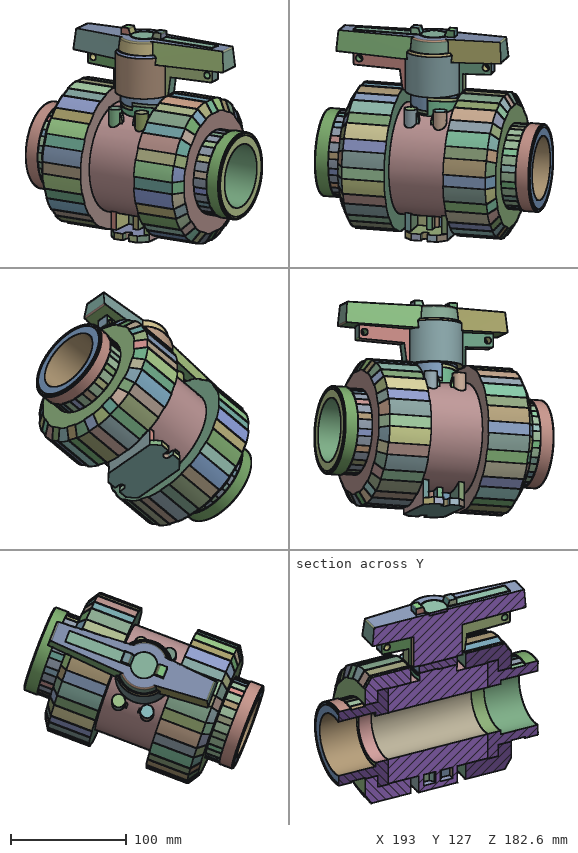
import cadquery as cq

clearance = 2.0
half_length = 96.5
flow_bore_r = 24.5
body_r = 48.6
body_half_length = 48.2

nut_r = 63.7
nut_floor_r = 63.0
nut_face_r = 53.8
nut_inner_x = 26.5
nut_bevel_x = 64.5
nut_outer_x = 70.8
grip_count = 16
nut_groove_width = 10.5

socket_r = 28.0
socket_depth = 35.9
connector_rim_r = 38.2
connector_rim_length = 12.4
connector_rim_chamfer = 1.0
connector_neck_r = 37.5
connector_groove_width = 6.2
connector_groove_depth = 0.5
connector_flange_length = 9.6
flange_outer_x = body_half_length + connector_flange_length
face_recess_r = 35.5
face_recess_depth = 0.2

neck_r = 20.3
neck_recess = 0.4
rim_height = 2.9
high_ramp_z = 57.0
low_ramp_z = 52.9
ramp_slope = 0.2
stem_low_z = 45.2

post_x = 13.1
post_y = 26.8
post_r = 5.8
post_top_z = 52.0
post_base_z = 29.0
tab_width = 3.3
tab_reach = 7.7
tab_top_reach = 6.2
tab_top_z = 48.2
tab_knee_z = 42.5

foot_bottom_z = -64.5
foot_thickness = 6.0
foot_half_x = 19.0
foot_half_y = 31.3
foot_chamfer = 7.3
foot_slot_width = 5.8
foot_slot_depth = 7.7
rib_thickness = 5.0
center_rib_half_y = 14.3
boss_r = 6.2

handle_bottom_z = 62.3
handle_top_z = 112.1
hub_r = 24.9
hub_shoulder_z = 98.5
crown_ledge_r = 23.4
crown_base_r = 22.4
crown_base_z = 100.5
crown_top_r = 20.8
crown_fillet = 1.5
arm_root_x = 15.5
arm_root_bottom_z = 92.3
arm_tip_bottom_z = 93.6
arm_root_half_y = 15.5
arm_root_top_half_y = 13.1
arm_edge_fillet = 1.2
left_tip_bottom_x = 63.7
left_tip_bottom_half_y = 12.2
left_tip_top_x = 62.1
left_tip_top_half_y = 9.5
right_tip_bottom_x = 85.1
right_tip_bottom_half_y = 10.5
right_tip_top_x = 83.4
right_tip_top_half_y = 8.9
plate_width = 10.2
plate_left_x = -52.9
plate_right_x = 70.8
plate_tip_z = 81.3
plate_root_z = 80.0
web_left_x = -27.2
web_right_x = 29.3
web_right_bottom_x = 27.0
plate_fillet = 1.5
lock_hole_r = 2.9
lock_hole_inset = 5.0
lock_hole_z = 87.2

insert_recess = 2.0
insert_rise = 0.5
insert_top_z = handle_top_z + insert_rise
insert_seat_z = handle_top_z - insert_recess
insert_disc_r = 11.5
prong_top_z = 118.1
prong_width = 9.6
prong_outer_x = 19.7
prong_inner_top_x = 12.7
prong_inner_x = 10.8
prong_fillet = 0.8


def x_cylinder(radius, x_start, x_end):
    return cq.Workplane("YZ", origin=(x_start, 0, 0)).circle(radius).extrude(x_end - x_start)


def z_cylinder(radius, z_start, z_end, x=0.0, y=0.0):
    return cq.Workplane("XY", origin=(x, y, z_start)).circle(radius).extrude(z_end - z_start)


def box_between(x0, x1, y0, y1, z0, z1):
    return cq.Workplane("XY", origin=(x0, y0, z0)).box(x1 - x0, y1 - y0, z1 - z0, centered=False)


def plate_along_y(points, width):
    """Plate with an XZ outline, centred on Y = 0."""
    return cq.Workplane("XZ", origin=(0, width / 2, 0)).polyline(points).close().extrude(width)


def revolve_about_x(points):
    return cq.Workplane("XY").polyline(points).close().revolve(360, (0, 0, 0), (1, 0, 0))


def mirrored_to_left(solid):
    return solid.mirror("YZ")


def below_ramp(drop):
    """Everything under the two sloped ramps, lowered by `drop`, with a step at X = 0."""
    floor_z = 0.0
    reach = neck_r + clearance
    halves = []
    for front_z, slope, x_start in ((low_ramp_z, ramp_slope, -reach), (high_ramp_z, -ramp_slope, 0.0)):
        middle_z = front_z + slope * neck_r - drop
        outline = [
            (-reach, floor_z),
            (reach, floor_z),
            (reach, middle_z + slope * reach),
            (-reach, middle_z - slope * reach),
        ]
        halves.append(cq.Workplane("YZ", origin=(x_start, 0, 0)).polyline(outline).close().extrude(reach))
    return halves[0].union(halves[1])


def make_neck():
    """Neck up to the ramp, slightly recessed below a proud rim."""
    blank = z_cylinder(neck_r, post_base_z, handle_bottom_z)
    core = z_cylinder(neck_r - neck_recess, post_base_z, handle_bottom_z)
    recess = blank.cut(core).intersect(below_ramp(rim_height))
    return blank.intersect(below_ramp(0.0)).cut(recess)


def make_stem():
    return z_cylinder(neck_r, stem_low_z, handle_bottom_z).cut(below_ramp(0.0))


def make_post(x_side, y_side):
    """Mounting post with a tapered tab that points along X toward the stem."""
    x = x_side * post_x
    y = y_side * post_y
    tab_outline = [
        (x, post_base_z),
        (x, tab_top_z),
        (x - x_side * tab_top_reach, tab_top_z),
        (x - x_side * tab_reach, tab_knee_z),
        (x - x_side * tab_reach, post_base_z),
    ]
    tab = plate_along_y(tab_outline, tab_width).translate((0, y, 0))
    return z_cylinder(post_r, post_base_z, post_top_z, x, y).union(tab)


def make_foot():
    """Slotted base plate held under the body by ribs and a central boss."""
    plate_top_z = foot_bottom_z + foot_thickness
    rib_top_z = -post_base_z
    plate = box_between(-foot_half_x, foot_half_x, -foot_half_y, foot_half_y, foot_bottom_z, plate_top_z)
    plate = plate.edges("|Z").chamfer(foot_chamfer)
    slot_reach = 2 * foot_slot_depth
    for side in (-1, 1):
        slot = cq.Workplane("XY", origin=(0, side * foot_half_y, foot_bottom_z))
        plate = plate.cut(slot.slot2D(slot_reach, foot_slot_width, 90).extrude(foot_thickness))
    foot = plate.union(z_cylinder(boss_r, foot_bottom_z, rib_top_z))

    end_rib_half_y = foot_half_y - foot_chamfer
    half_rib = rib_thickness / 2
    end_rib_x = foot_half_x - half_rib
    rib_half_lengths = ((-end_rib_x, end_rib_half_y), (0.0, center_rib_half_y), (end_rib_x, end_rib_half_y))
    for x, half_y in rib_half_lengths:
        rib = box_between(x - half_rib, x + half_rib, -half_y, half_y, foot_bottom_z, rib_top_z)
        foot = foot.union(rib)
    web = box_between(-foot_half_x, foot_half_x, -half_rib, half_rib, foot_bottom_z, rib_top_z)
    return foot.union(web)


def make_body():
    body = x_cylinder(body_r, -body_half_length, body_half_length).union(make_neck()).union(make_foot())
    for x_side in (-1, 1):
        for y_side in (-1, 1):
            body = body.union(make_post(x_side, y_side))
    return body.cut(x_cylinder(flow_bore_r, -body_half_length, body_half_length))


def make_nut():
    nut = revolve_about_x([
        (nut_inner_x, body_r),
        (nut_inner_x, nut_r),
        (nut_bevel_x, nut_r),
        (nut_outer_x, nut_face_r),
        (nut_outer_x, connector_neck_r),
        (flange_outer_x, connector_neck_r),
        (flange_outer_x, body_r),
    ])
    groove_depth = nut_r - nut_floor_r
    clear_r = nut_r + clearance
    groove_outline = [
        (nut_inner_x, clear_r),
        (nut_inner_x, nut_floor_r),
        (nut_bevel_x, nut_floor_r),
        (nut_outer_x, nut_face_r - groove_depth),
        (nut_outer_x, clear_r),
    ]
    groove = plate_along_y(groove_outline, nut_groove_width)
    for i in range(grip_count):
        nut = nut.cut(groove.rotate((0, 0, 0), (1, 0, 0), i * 360 / grip_count))
    return nut


def make_connector():
    rim_x = half_length - connector_rim_length
    rim = x_cylinder(connector_rim_r, rim_x, half_length).faces(">X").edges().chamfer(connector_rim_chamfer)
    neck = x_cylinder(connector_neck_r, body_half_length, rim_x)
    groove = box_between(
        nut_outer_x,
        rim_x,
        -connector_groove_width / 2,
        connector_groove_width / 2,
        connector_neck_r - connector_groove_depth,
        connector_neck_r + clearance,
    )
    pitch = 360 / grip_count
    for i in range(grip_count):
        neck = neck.cut(groove.rotate((0, 0, 0), (1, 0, 0), (i + 1 / 2) * pitch))
    flange = x_cylinder(body_r, body_half_length, flange_outer_x)
    bore = x_cylinder(flow_bore_r, body_half_length, half_length)
    socket = x_cylinder(socket_r, half_length - socket_depth, half_length)
    face_recess = x_cylinder(face_recess_r, half_length - face_recess_depth, half_length)
    return rim.union(neck).union(flange).cut(bore).cut(socket).cut(face_recess)


def make_arm(side, tip_bottom_x, tip_bottom_half_y, tip_top_x, tip_top_half_y):
    """Tapered arm from the hub to a sloped tip, with an underside that rises toward the tip."""
    def section(z, tip_x, tip_half_y, root_half_y):
        points = [(0, -root_half_y), (side * arm_root_x, -root_half_y), (side * tip_x, -tip_half_y)]
        points += [(x, -y) for x, y in reversed(points)]
        return cq.Wire.makePolygon([cq.Vector(x, y, z) for x, y in points], close=True)

    bottom = section(arm_root_bottom_z, tip_bottom_x, tip_bottom_half_y, arm_root_half_y)
    top = section(handle_top_z, tip_top_x, tip_top_half_y, arm_root_top_half_y)
    arm = cq.Workplane(cq.Solid.makeLoft([bottom, top], True))
    tip_clear_x = side * (tip_bottom_x + clearance)
    under_wedge = [
        (side * arm_root_x, arm_root_bottom_z),
        (tip_clear_x, arm_root_bottom_z),
        (tip_clear_x, arm_tip_bottom_z),
        (side * tip_bottom_x, arm_tip_bottom_z),
    ]
    arm = arm.cut(plate_along_y(under_wedge, 4 * arm_root_half_y))
    tip = ">X" if side > 0 else "<X"
    arm = arm.faces(">Z").edges(tip).fillet(arm_edge_fillet)
    return arm.edges(tip).fillet(arm_edge_fillet)


def make_hub():
    profile = [
        (0, handle_bottom_z),
        (hub_r, handle_bottom_z),
        (hub_r, hub_shoulder_z),
        (crown_ledge_r, crown_base_z),
        (crown_base_r, crown_base_z),
        (crown_top_r, handle_top_z),
        (0, handle_top_z),
    ]
    hub = cq.Workplane("XZ").polyline(profile).close().revolve(360, (0, 0, 0), (0, 1, 0))
    return hub.faces(">Z").edges().fillet(crown_fillet)


def make_lock_plate():
    """Central plate under the arms, with a padlock hole near each end."""
    outline = [
        (plate_left_x, arm_tip_bottom_z),
        (plate_left_x, plate_tip_z),
        (web_left_x, plate_root_z),
        (web_left_x, nut_r),
        (-nut_inner_x, nut_r),
        (-nut_inner_x, handle_bottom_z),
        (nut_inner_x, handle_bottom_z),
        (nut_inner_x, nut_r),
        (web_right_bottom_x, nut_r),
        (web_right_x, plate_root_z),
        (plate_right_x, plate_tip_z),
        (plate_right_x, arm_tip_bottom_z),
    ]
    plate = plate_along_y(outline, plate_width)
    for x in (plate_left_x, plate_right_x):
        lower_corner = cq.selectors.NearestToPointSelector((x, 0, plate_tip_z))
        plate = plate.edges("|Y").edges(lower_corner).fillet(plate_fillet)
    hole_places = [
        (plate_left_x + lock_hole_inset, lock_hole_z),
        (plate_right_x - lock_hole_inset, lock_hole_z),
    ]
    holes = cq.Workplane("XZ", origin=(0, plate_width / 2, 0)).pushPoints(hole_places)
    return plate.cut(holes.circle(lock_hole_r).extrude(plate_width))


def make_handle(insert):
    left_arm = make_arm(-1, left_tip_bottom_x, left_tip_bottom_half_y, left_tip_top_x, left_tip_top_half_y)
    right_arm = make_arm(
        1, right_tip_bottom_x, right_tip_bottom_half_y, right_tip_top_x, right_tip_top_half_y
    )
    handle = make_hub().union(left_arm).union(right_arm).union(make_lock_plate())
    return handle.cut(insert)


def make_prong(side):
    outline = [
        (side * prong_outer_x, insert_seat_z),
        (side * prong_outer_x, prong_top_z),
        (side * prong_inner_top_x, prong_top_z),
        (side * prong_inner_x, insert_top_z),
        (side * prong_inner_x, insert_seat_z),
    ]
    return plate_along_y(outline, prong_width).faces(">Z").edges("|Y").fillet(prong_fillet)


def make_insert():
    disc = z_cylinder(insert_disc_r, insert_seat_z, insert_top_z)
    half_width = plate_width / 2
    strip = box_between(0, plate_right_x, -half_width, half_width, insert_seat_z, insert_top_z)
    return disc.union(strip).union(make_prong(-1)).union(make_prong(1))


body = make_body()
stem = make_stem()
right_nut = make_nut()
right_connector = make_connector()
insert = make_insert()
handle = make_handle(insert)

result = cq.Compound.makeCompound([
    body.val(),
    stem.val(),
    right_nut.val(),
    mirrored_to_left(right_nut).val(),
    right_connector.val(),
    mirrored_to_left(right_connector).val(),
    handle.val(),
    insert.val(),
])